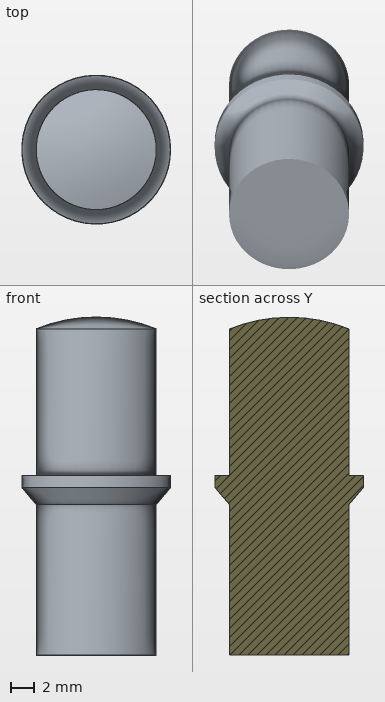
import cadquery as cq

total_height = 28.2
pin_diameter = 10.0
collar_diameter = 12.4
dome_height = 1.0
cone_bottom = 12.58
collar_bottom = 14.0
collar_top = 15.0

pin_radius = pin_diameter / 2
collar_radius = collar_diameter / 2
shoulder_height = total_height - dome_height

dome_radius = (pin_radius**2 + dome_height**2) / (2 * dome_height)
dome_center = total_height - dome_radius
dome_mid_x = pin_radius / 2
dome_mid_z = dome_center + (dome_radius**2 - dome_mid_x**2) ** 0.5

profile = (
    cq.Workplane("XZ")
    .moveTo(0, 0)
    .lineTo(pin_radius, 0)
    .lineTo(pin_radius, cone_bottom)
    .lineTo(collar_radius, collar_bottom)
    .lineTo(collar_radius, collar_top)
    .lineTo(pin_radius, collar_top)
    .lineTo(pin_radius, shoulder_height)
    .threePointArc((dome_mid_x, dome_mid_z), (0, total_height))
    .close()
)

result = profile.revolve(360, (0, 0, 0), (0, 1, 0))